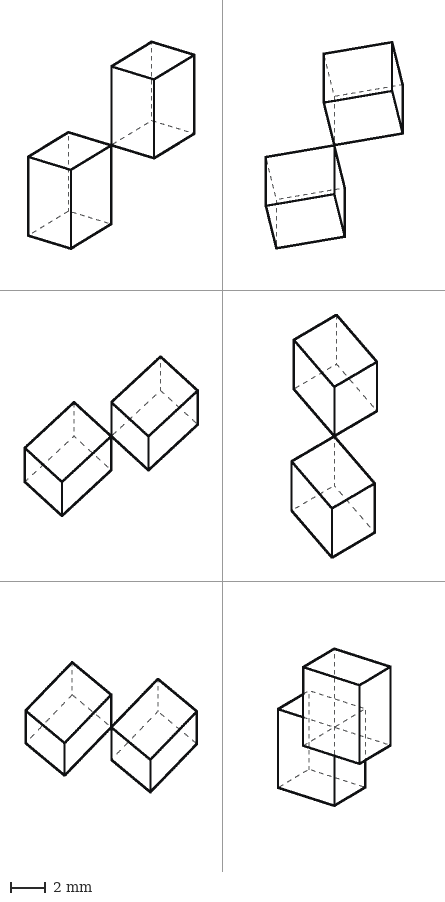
import cadquery as cq

block_width = 3
block_depth = 4
block_height = 5

block_sides = (-1, 1)


def make_block(side):
    """Plain block with one corner at the origin, extending to the given side along X, Y and Z."""
    center = (side * block_width / 2, side * block_depth / 2, side * block_height / 2)
    return cq.Workplane("XY").box(block_width, block_depth, block_height).translate(center)


blocks = [make_block(side) for side in block_sides]

result = cq.Compound.makeCompound([block.val() for block in blocks])